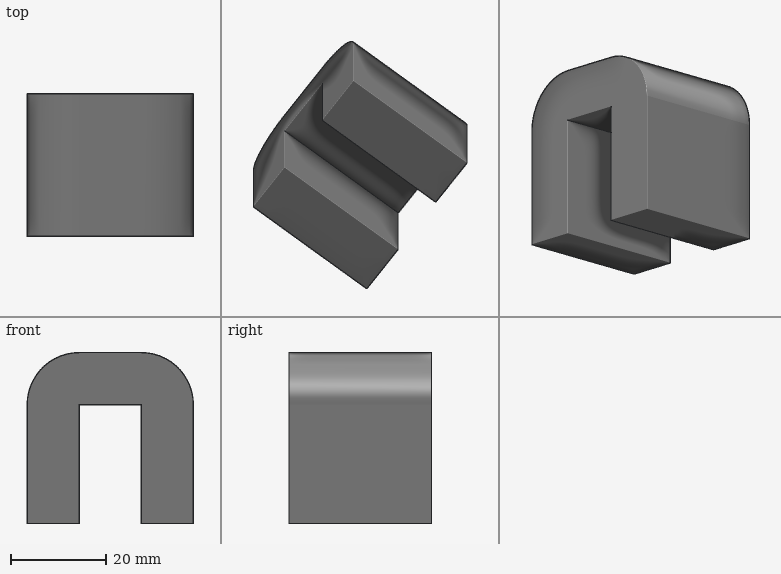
import cadquery as cq

width = 35.0
depth = 30.0
height = 36.0

wall = 11.0
corner_radius = wall
edge_round = 0.1

slot_width = width - 2 * wall
slot_height = height - wall


def make_block():
    """Solid block with its two upper long edges rounded, base on Z = 0."""
    block = cq.Workplane("XY").box(width, depth, height, centered=(True, True, False))
    return block.edges("|Y and >Z").fillet(corner_radius)


def make_slot():
    """Rectangular channel running the full depth, open at the bottom."""
    return cq.Workplane("XY").box(slot_width, depth, slot_height, centered=(True, True, False))


def break_edges(body):
    """Round every edge bordering the front and back faces and the feet of the legs."""
    return body.faces("<Y or >Y or <Z").edges().fillet(edge_round)


result = break_edges(make_block().cut(make_slot()))